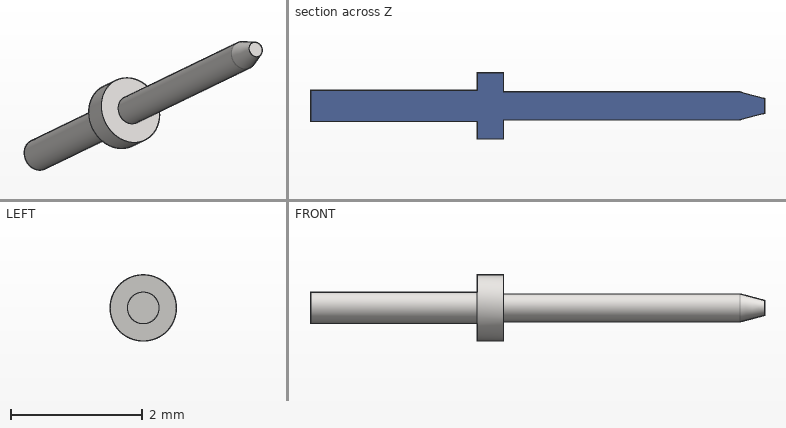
import cadquery as cq

total_length = 6.93
tail_length = 2.54
collar_length = 0.406
tip_length = 0.381
contact_length = total_length - tail_length - collar_length - tip_length

collar_diameter = 1.016
tail_diameter = 0.483
contact_diameter = 0.432
tip_end_diameter = 0.23

collar_start = tail_length
collar_end = collar_start + collar_length
tip_start = collar_end + contact_length

half_profile = (
    cq.Workplane("XZ")
    .moveTo(0, 0)
    .lineTo(0, tail_diameter / 2)
    .lineTo(collar_start, tail_diameter / 2)
    .lineTo(collar_start, collar_diameter / 2)
    .lineTo(collar_end, collar_diameter / 2)
    .lineTo(collar_end, contact_diameter / 2)
    .lineTo(tip_start, contact_diameter / 2)
    .lineTo(total_length, tip_end_diameter / 2)
    .lineTo(total_length, 0)
    .close()
)

result = half_profile.revolve(360, (0, 0, 0), (1, 0, 0))